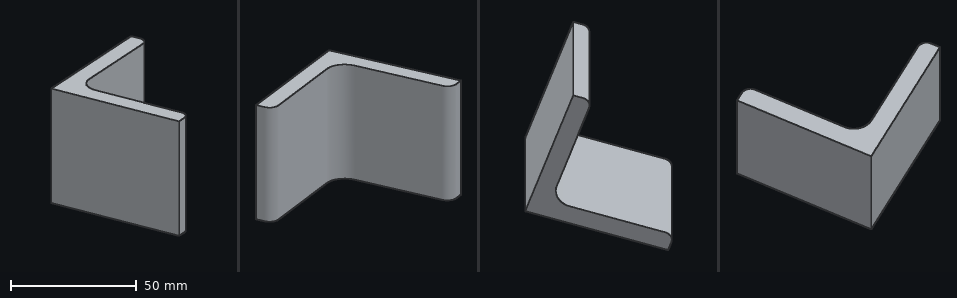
import cadquery as cq

leg_length = 60.0
leg_thickness = 8.0
height = 50.0
root_radius = 8.0
toe_radius = 4.0


def angle_bar():
    """Sharp-cornered L with its outer corner at the origin."""
    outline = [
        (0, 0),
        (leg_length, 0),
        (leg_length, leg_thickness),
        (leg_thickness, leg_thickness),
        (leg_thickness, leg_length),
        (0, leg_length),
    ]
    return cq.Workplane("XY").polyline(outline).close().extrude(height)


def vertical_edge_at(x, y):
    """Selector for the vertical edge passing through (x, y)."""
    return cq.selectors.NearestToPointSelector((x, y, height / 2))


result = angle_bar()
result = result.edges(vertical_edge_at(leg_thickness, leg_thickness)).fillet(root_radius)
for toe_x, toe_y in [(leg_length, leg_thickness), (leg_thickness, leg_length)]:
    result = result.edges(vertical_edge_at(toe_x, toe_y)).fillet(toe_radius)